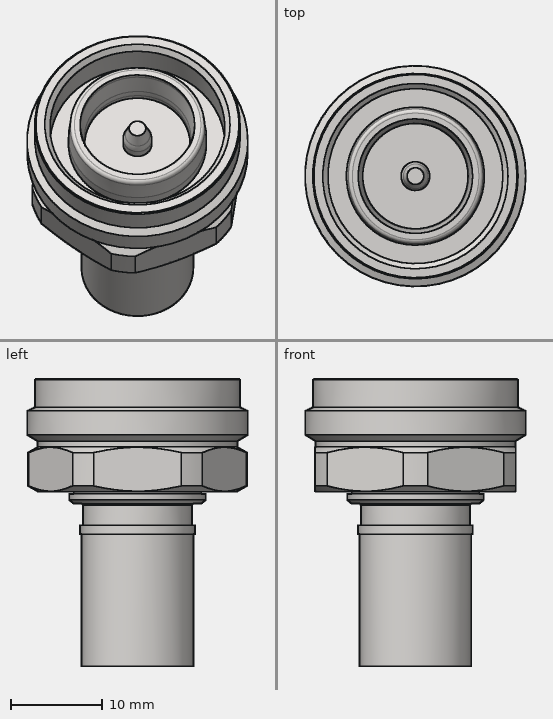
import cadquery as cq
import math

total_height = 31.5

ferrule_radius = 6.15
band_radius = 6.3
band_bottom = 14.5
band_top = 15.47
neck_radius = 6.0

collar_radius = 7.5
collar_cone_radius = 7.0
collar_bottom = 17.83
collar_cone_top = 18.25
collar_top = 18.9
neck_chamfer = 0.15

nut_bottom = 19.12
nut_top = 24.07
nut_across_flats = 22.0
nut_corner_radius = 12.0
nut_chamfer_width = 1.13
nut_chamfer_angle = 30.0
groove_radius = 10.95

flange_radius = 12.1
flange_cone_bottom = 24.65
flange_bottom = 25.35
flange_top = 27.97
flange_cone_top = 28.38
rim_radius = 11.25
rim_chamfer = 0.13

socket_floor = 27.25
socket_radius = 9.58
socket_lead_in = 0.57

sleeve_lip_radius = 7.37
sleeve_base_radius = 7.55
sleeve_fillet = 0.45
sleeve_bore_radius = 6.27
sleeve_bore_floor_radius = 5.75
sleeve_lip_bottom = 31.05
sleeve_taper_bottom = 28.65
bore_round_bottom = 27.88

pin_radius = 1.58
pin_shoulder_radius = 1.35
pin_tip_radius = 0.9
pin_top = 30.65
pin_shoulder = 29.2
pin_round_bottom = 28.35


def revolve(outline):
    """Spin a closed (radius, height) outline about the Z axis."""
    return outline.close().revolve(360, (0, 0, 0), (0, 1, 0))


def cable_end():
    outline = (
        cq.Workplane("XZ")
        .lineTo(ferrule_radius, 0)
        .lineTo(ferrule_radius, band_bottom)
        .lineTo(band_radius, band_bottom)
        .lineTo(band_radius, band_top)
        .lineTo(neck_radius, band_top)
        .lineTo(neck_radius, collar_bottom - neck_chamfer)
        .lineTo(neck_radius + neck_chamfer, collar_bottom)
        .lineTo(collar_cone_radius, collar_bottom)
        .lineTo(collar_radius, collar_cone_top)
        .lineTo(collar_radius, collar_top)
        .lineTo(collar_cone_radius, collar_top)
        .lineTo(collar_cone_radius, nut_bottom)
        .lineTo(0, nut_bottom)
    )
    return revolve(outline)


def nut():
    height = nut_top - nut_bottom
    chamfer_height = nut_chamfer_width * math.tan(math.radians(nut_chamfer_angle))
    hexagon = (
        cq.Workplane("XY", origin=(0, 0, nut_bottom))
        .polygon(6, nut_across_flats, circumscribed=True)
        .extrude(height)
    )
    end_radius = nut_corner_radius - nut_chamfer_width
    envelope = revolve(
        cq.Workplane("XZ")
        .moveTo(0, nut_bottom)
        .lineTo(end_radius, nut_bottom)
        .lineTo(nut_corner_radius, nut_bottom + chamfer_height)
        .lineTo(nut_corner_radius, nut_top - chamfer_height)
        .lineTo(end_radius, nut_top)
        .lineTo(0, nut_top)
    )
    return hexagon.intersect(envelope)


def coupling_ring():
    outline = (
        cq.Workplane("XZ")
        .moveTo(0, nut_top)
        .lineTo(groove_radius, nut_top)
        .lineTo(groove_radius, flange_cone_bottom)
        .lineTo(flange_radius, flange_bottom)
        .lineTo(flange_radius, flange_top)
        .lineTo(rim_radius, flange_cone_top)
        .lineTo(rim_radius, total_height - rim_chamfer)
        .lineTo(rim_radius - rim_chamfer, total_height)
        .lineTo(socket_radius + socket_lead_in, total_height)
        .lineTo(socket_radius, total_height - socket_lead_in)
        .lineTo(socket_radius, socket_floor)
        .lineTo(0, socket_floor)
    )
    return revolve(outline)


def contact_sleeve():
    round_height = sleeve_taper_bottom - bore_round_bottom
    bore_drop = sleeve_bore_radius - sleeve_bore_floor_radius
    taper_height = sleeve_lip_bottom - bore_round_bottom - round_height / 2
    bore_taper = math.atan2(bore_drop, taper_height)
    taper_end_radius = sleeve_bore_floor_radius + round_height * math.tan(bore_taper / 2)
    outline = (
        cq.Workplane("XZ")
        .moveTo(sleeve_bore_floor_radius, socket_floor)
        .lineTo(sleeve_base_radius, socket_floor)
        .lineTo(sleeve_base_radius, sleeve_taper_bottom)
        .lineTo(sleeve_lip_radius, total_height - sleeve_fillet)
        .radiusArc((sleeve_lip_radius - sleeve_fillet, total_height), -sleeve_fillet)
        .lineTo(sleeve_bore_radius, total_height)
        .lineTo(sleeve_bore_radius, sleeve_lip_bottom)
        .lineTo(taper_end_radius, sleeve_taper_bottom)
        .tangentArcPoint((sleeve_bore_floor_radius, bore_round_bottom), relative=False)
    )
    return revolve(outline)


def centre_pin():
    rise = pin_shoulder - pin_round_bottom
    inset = pin_radius - pin_shoulder_radius
    shoulder_arc_radius = (rise**2 + inset**2) / (2 * inset)
    outline = (
        cq.Workplane("XZ")
        .moveTo(0, socket_floor)
        .lineTo(pin_radius, socket_floor)
        .lineTo(pin_radius, pin_round_bottom)
        .radiusArc((pin_shoulder_radius, pin_shoulder), -shoulder_arc_radius)
        .lineTo(pin_tip_radius, pin_top)
        .lineTo(0, pin_top)
    )
    return revolve(outline)


result = (
    cable_end()
    .union(nut())
    .union(coupling_ring())
    .union(contact_sleeve())
    .union(centre_pin())
)